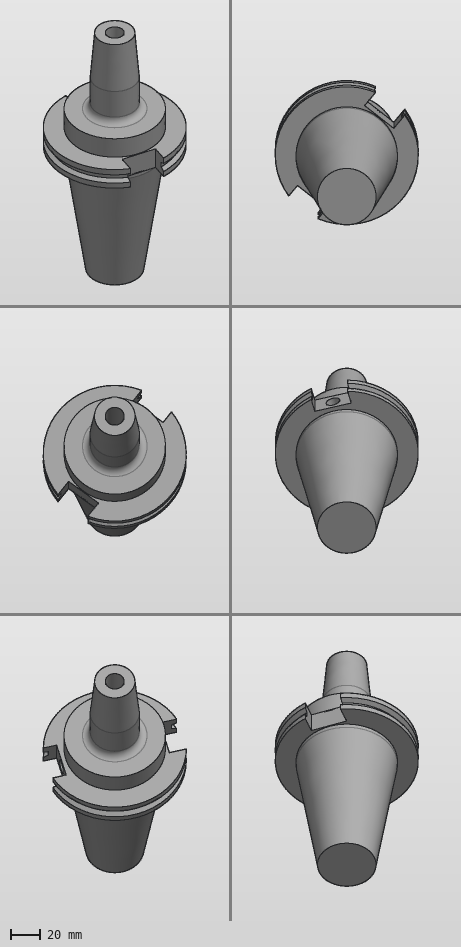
import cadquery as cq

gauge_z = 101.6
flange_bottom_z = 104.8
flange_top_z = 120.8
shoulder_z = 136.5
nose_z = 163.7
top_z = 201.5

taper_end_radius = 20.2
body_radius = 34.9
flange_radius = 49.2
neck_radius = 17.0
nose_end_radius = 14.0
neck_fillet = 5.2

groove_radius = 45.8
groove_mouth_width = 7.0
groove_floor_width = 3.6
groove_z = 112.7

slot_width = 25.8
left_slot_x = -38.0
right_slot_x = 35.5

recess_diameter = 9.7
recess_depth = 10.0

bore_diameter = 13.0
bore_depth = top_z - nose_z


def turned_body():
    """Taper, flange with its groove, collar, neck and nose in one revolve."""
    mouth_half = groove_mouth_width / 2
    floor_half = groove_floor_width / 2
    profile = (
        cq.Workplane("XZ")
        .lineTo(taper_end_radius, 0)
        .lineTo(body_radius, gauge_z)
        .lineTo(body_radius, flange_bottom_z)
        .lineTo(flange_radius, flange_bottom_z)
        .lineTo(flange_radius, groove_z - mouth_half)
        .lineTo(groove_radius, groove_z - floor_half)
        .lineTo(groove_radius, groove_z + floor_half)
        .lineTo(flange_radius, groove_z + mouth_half)
        .lineTo(flange_radius, flange_top_z)
        .lineTo(body_radius, flange_top_z)
        .lineTo(body_radius, shoulder_z)
        .lineTo(neck_radius + neck_fillet, shoulder_z)
        .radiusArc((neck_radius, shoulder_z + neck_fillet), neck_fillet)
        .lineTo(neck_radius, nose_z)
        .lineTo(nose_end_radius, top_z)
        .lineTo(0, top_z)
        .close()
    )
    return profile.revolve(360, (0, 0, 0), (0, 1, 0))


def drive_slot(floor_x):
    """Cutter for a slot through the flange, from floor_x outward."""
    side = 1 if floor_x > 0 else -1
    length = flange_radius
    return cq.Workplane("XY").box(
        length, slot_width, flange_top_z - flange_bottom_z, centered=(True, True, False)
    ).translate((floor_x + side * length / 2, 0, flange_bottom_z))


def slot_recess():
    """Cutter for the round recess in the left slot floor."""
    return (
        cq.Workplane("YZ", origin=(left_slot_x, 0, groove_z))
        .circle(recess_diameter / 2)
        .extrude(recess_depth)
    )


def tool_bore():
    """Cutter for the bore in the nose."""
    return (
        cq.Workplane("XY", origin=(0, 0, top_z))
        .circle(bore_diameter / 2)
        .extrude(-bore_depth)
    )


result = turned_body()
for slot_floor_x in (left_slot_x, right_slot_x):
    result = result.cut(drive_slot(slot_floor_x))
result = result.cut(slot_recess())
result = result.cut(tool_bore())